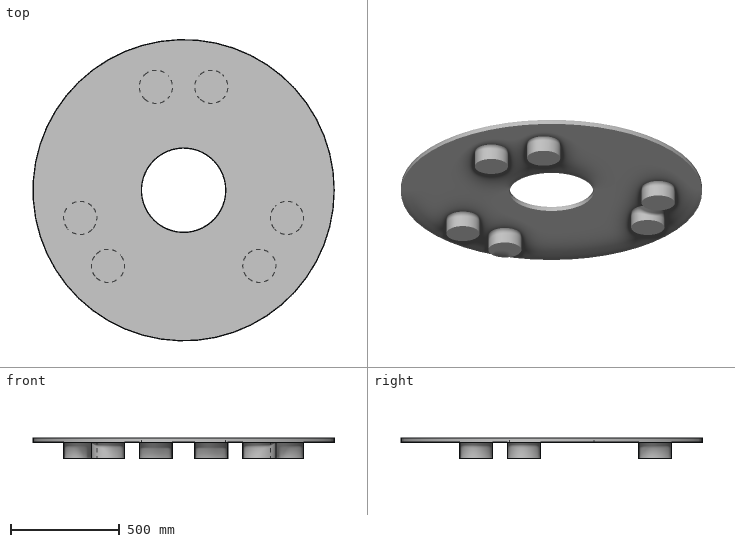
import cadquery as cq

plate_diameter = 1385.0
bore_diameter = 387.0
plate_thickness = 21.0

total_height = 95.0
foot_diameter = 152.0
foot_circle_radius = 492.0
pair_count = 3
first_pair_angle = 90.0
pair_half_angle = 15.0

foot_height = total_height - plate_thickness


def make_plate():
    return (
        cq.Workplane("XY")
        .circle(plate_diameter / 2)
        .circle(bore_diameter / 2)
        .extrude(plate_thickness)
    )


def make_foot(angle):
    """One foot hanging below the plate at the given angle on the foot circle."""
    return (
        cq.Workplane("XY")
        .polarArray(foot_circle_radius, angle, 360, 1)
        .circle(foot_diameter / 2)
        .extrude(-foot_height)
    )


result = make_plate()
for pair in range(pair_count):
    pair_angle = first_pair_angle + pair * 360 / pair_count
    for offset in (-pair_half_angle, pair_half_angle):
        result = result.union(make_foot(pair_angle + offset))